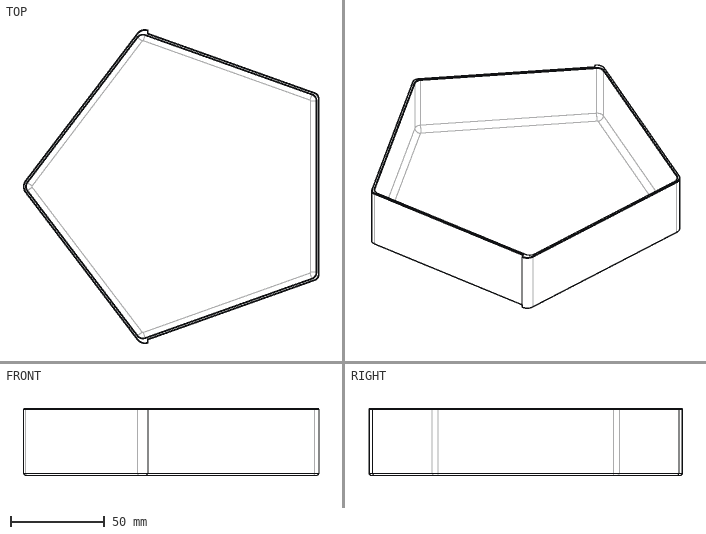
import cadquery as cq
import math

length_x = 157.2
half_width = 83.5
height = 35.5

left_wall_angle = math.radians(52.8)
slanted_wall_angle = math.radians(19.6)

right_corner_y = 49.0
corner_radius = 5.0
right_corner_radius = 3.5
wall = 1.5
floor_thickness = 1.5
floor_fillet = 3.0
inner_corner_radius = corner_radius - wall
bottom_chamfer = 1.0
rim_chamfer = 0.3

left_normal_angle = math.pi / 2 + left_wall_angle
slanted_normal_angle = math.pi / 2 - slanted_wall_angle

tip_center = (corner_radius, 0)
wide_center_y = half_width - corner_radius
wide_center = (corner_radius + wide_center_y / math.tan(left_wall_angle), wide_center_y)
right_center = (
    length_x - right_corner_radius,
    right_corner_y - right_corner_radius * math.tan((math.pi / 2 - slanted_wall_angle) / 2),
)


def on_circle(center, radius, angle):
    return (center[0] + radius * math.cos(angle), center[1] + radius * math.sin(angle))


def mirrored(point):
    return (point[0], -point[1])


def slanted_wall_y(x):
    return right_corner_y + (length_x - x) * math.tan(slanted_wall_angle)


def outer_outline():
    """Rounded pentagon with a small step where each wide corner meets its slanted wall."""
    tip_end = on_circle(tip_center, corner_radius, left_normal_angle)
    wide_start = on_circle(wide_center, corner_radius, left_normal_angle)
    wide_mid_angle = (left_normal_angle + slanted_normal_angle) / 2
    wide_mid = on_circle(wide_center, corner_radius, wide_mid_angle)
    wide_end = on_circle(wide_center, corner_radius, slanted_normal_angle)
    step_foot = (wide_end[0], slanted_wall_y(wide_end[0]))
    right_start = on_circle(right_center, right_corner_radius, slanted_normal_angle)
    right_mid = on_circle(right_center, right_corner_radius, slanted_normal_angle / 2)
    right_end = on_circle(right_center, right_corner_radius, 0)
    return (
        cq.Workplane("XY")
        .moveTo(*tip_end)
        .lineTo(*wide_start)
        .threePointArc(wide_mid, wide_end)
        .lineTo(*step_foot)
        .lineTo(*right_start)
        .threePointArc(right_mid, right_end)
        .lineTo(*mirrored(right_end))
        .threePointArc(mirrored(right_mid), mirrored(right_start))
        .lineTo(*mirrored(step_foot))
        .lineTo(*mirrored(wide_end))
        .threePointArc(mirrored(wide_mid), mirrored(wide_start))
        .lineTo(*mirrored(tip_end))
        .threePointArc((0, 0), tip_end)
        .close()
    )


def cavity():
    """Pentagonal pocket one wall inside the outer faces, with rounded corners and floor edge."""
    inner_tip_x = corner_radius - inner_corner_radius / math.sin(left_wall_angle)
    inner_right_x = length_x - wall
    inner_right_y = slanted_wall_y(inner_right_x) - wall / math.cos(slanted_wall_angle)
    left_slope = math.tan(left_wall_angle)
    slanted_slope = math.tan(slanted_wall_angle)
    wide_x = (
        inner_right_y + slanted_slope * inner_right_x + left_slope * inner_tip_x
    ) / (left_slope + slanted_slope)
    wide_point = (wide_x, left_slope * (wide_x - inner_tip_x))
    right_point = (inner_right_x, inner_right_y)
    corners = [
        (inner_tip_x, 0), wide_point, right_point, mirrored(right_point), mirrored(wide_point),
    ]
    return (
        cq.Workplane("XY", origin=(0, 0, floor_thickness))
        .polyline(corners)
        .close()
        .extrude(height - floor_thickness)
        .edges("|Z")
        .fillet(inner_corner_radius)
        .faces("<Z")
        .edges()
        .fillet(floor_fillet)
    )


body = outer_outline().extrude(height).faces("<Z").chamfer(bottom_chamfer)
result = body.cut(cavity()).faces(">Z").chamfer(rim_chamfer)